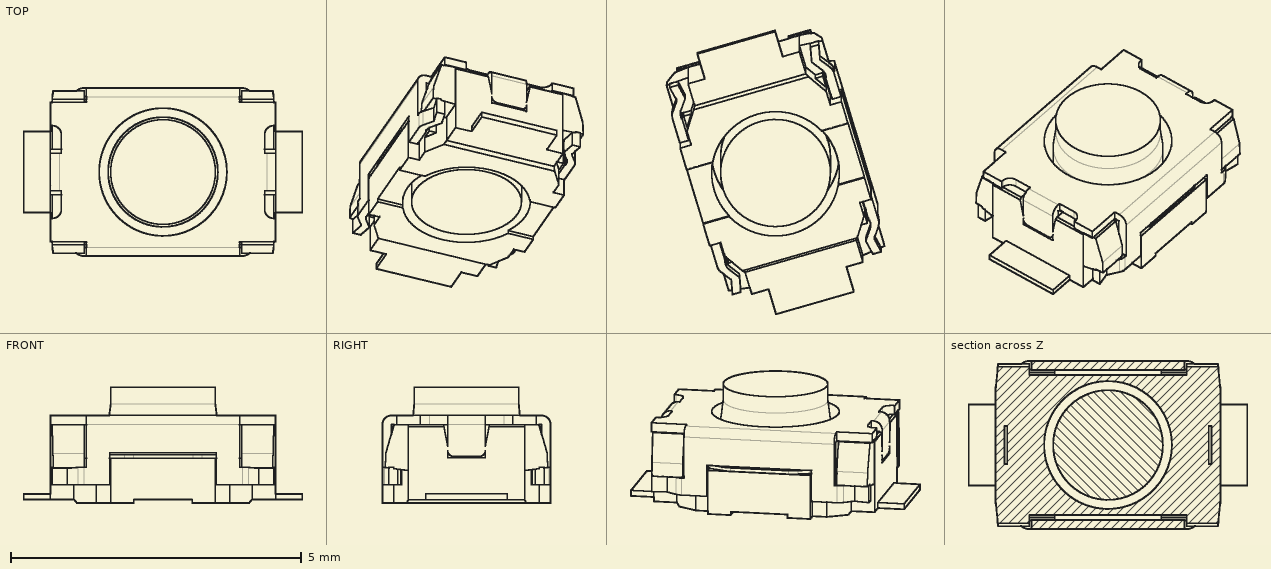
import cadquery as cq
import math


HALF_LENGTH = 1.94
HALF_WIDTH = 1.45
SHEET = 0.16
BEND_RADIUS = 0.155
COVER_TOP = 1.51
BASE_TOP = COVER_TOP - SHEET
UNDERSIDE = 0.06
CUTTER_MARGIN = 0.5

BUTTON_TOP = 2.0
BUTTON_RADIUS = 0.903
BUTTON_SKIRT_RADIUS = 0.948
TAPER_TOP = 1.715
TAPER_BOTTOM = 1.35
BUTTON_HOLE_RADIUS = 1.1

CORE_HALF_WIDTH = 1.0
WALL_HALF_WIDTH = 1.21
END_EDGE_CHAMFER = 0.035
PLINTH_HALF_WIDTH = 1.25
PLINTH_CORNER_X = 1.15
PLINTH_HALF_LENGTH = 1.535
FOOT_HALF_LENGTH = 1.485
FOOT_GAP_HALF = 0.5
LUG_HALF_LENGTH = 0.9
LUG_TOP = 0.776
RIDGE_TOP = 0.835
RIDGE_FLAT_HALF = 0.51
RIDGE_BEND_HALF = 0.67
RIDGE_FACE_Y = 1.43
RIDGE_BEND_Y = 1.39

BLOCK_INNER_X = 1.355
BLOCK_ROOT_X = 1.935
BLOCK_TIP_X = 1.895
BLOCK_TOP_Y = 1.25
BLOCK_SHOULDER_Y = 1.39
BLOCK_SHOULDER_Z = 0.86
BLOCK_TIP_Y = 1.40
BLOCK_TIP_Z = 0.612
BLOCK_ROOT_Z = 0.56

PLATE_CORNER_Y = 1.20
FLAP_HALF_LENGTH = 1.32
FLAP_BOTTOM = 0.315
FLAP_INNER_Y = HALF_WIDTH - SHEET
WINDOW_HALF = 0.92
WINDOW_TOP = 0.865

TAIL_TOP = 0.617
TAIL_DEPTH = 0.15
TAIL_BEND_START = (1.365, HALF_WIDTH)
TAIL_BEND_MIDDLE = (1.42, 1.441)
TAIL_BEND_END = (1.47, 1.415)
TAIL_WAIST = (1.65, 1.285)
TAIL_END = (1.91, 1.338)

TAB_HALF_WIDTH = 0.325
TAB_BOTTOM = 0.805
TAB_CORNER_RADIUS = 0.1
RECESS_FLOOR_X = 1.74
RECESS_BOTTOM = 0.777
RECESS_FLARE_START = 0.98
RECESS_TOP_HALF_WIDTH = 0.395
RELIEF_INNER_X = 1.75
RELIEF_HALF_WIDTH = 0.80
RELIEF_RADIUS = 0.16

TERMINAL_REACH = 2.4
TERMINAL_HALF_WIDTH = 0.70
TERMINAL_THICKNESS = 0.1


def block(x0, x1, y0, y1, z0, z1):
    """Box between two opposite corners."""
    return cq.Workplane("XY").box(x1 - x0, y1 - y0, z1 - z0, centered=False).translate((x0, y0, z0))


def centred_block(half_x, half_y, z0, z1):
    """Box centred on the Z axis."""
    return block(-half_x, half_x, -half_y, half_y, z0, z1)


def prism(points, z0, z1):
    """Upright prism over a plan outline."""
    return cq.Workplane("XY").workplane(offset=z0).polyline(points).close().extrude(z1 - z0)


def both_ends(shape):
    """The shape and its mirror image at the other X end."""
    return [shape, shape.mirror("YZ")]


def both_sides(shape):
    """The shape and its mirror image on the other Y side."""
    return [shape, shape.mirror("XZ")]


def four_corners(shape):
    return [copy for end in both_ends(shape) for copy in both_sides(end)]


def base_plinth():
    """Lower base with slanted corners, standing on two feet with sloped outer ends."""
    corner = [
        (PLINTH_HALF_LENGTH, CORE_HALF_WIDTH),
        (PLINTH_CORNER_X, PLINTH_HALF_WIDTH),
    ]
    outline = corner + [(-x, y) for x, y in reversed(corner)]
    outline += [(-x, -y) for x, y in outline]
    plinth = prism(outline, 0, LUG_TOP)
    plinth = plinth.union(centred_block(LUG_HALF_LENGTH, HALF_WIDTH, 0, LUG_TOP))
    foot_end = (
        cq.Workplane("XZ")
        .polyline([
            (PLINTH_HALF_LENGTH, UNDERSIDE),
            (FOOT_HALF_LENGTH, 0),
            (PLINTH_HALF_LENGTH, 0),
        ])
        .close()
        .extrude(HALF_WIDTH, both=True)
    )
    for cutter in both_ends(foot_end):
        plinth = plinth.cut(cutter)
    return plinth.cut(centred_block(FOOT_GAP_HALF, HALF_WIDTH, 0, UNDERSIDE))


def base_core():
    """Full-length middle of the base with chamfered top ends, and the stepped walls beside it."""
    core = centred_block(HALF_LENGTH, CORE_HALF_WIDTH, UNDERSIDE, BASE_TOP)
    core = core.faces(">Z").edges("|Y").chamfer(END_EDGE_CHAMFER)
    core = core.union(centred_block(BLOCK_INNER_X, WALL_HALF_WIDTH, FLAP_BOTTOM, BASE_TOP))
    return core.union(centred_block(BLOCK_INNER_X, PLINTH_HALF_WIDTH, FLAP_BOTTOM, LUG_TOP))


def corner_block():
    """Corner of the base at +X +Y, sloping outward and drafted at its end."""
    profile = (
        cq.Workplane("YZ")
        .workplane(offset=BLOCK_INNER_X)
        .polyline([
            (CORE_HALF_WIDTH, BLOCK_ROOT_Z),
            (BLOCK_TIP_Y, BLOCK_TIP_Z),
            (BLOCK_SHOULDER_Y, BLOCK_SHOULDER_Z),
            (BLOCK_TOP_Y, BASE_TOP),
            (CORE_HALF_WIDTH, BASE_TOP),
        ])
        .close()
        .extrude(BLOCK_ROOT_X - BLOCK_INNER_X)
    )
    plan = prism(
        [
            (BLOCK_INNER_X, CORE_HALF_WIDTH),
            (BLOCK_ROOT_X, CORE_HALF_WIDTH),
            (BLOCK_TIP_X, BLOCK_TIP_Y),
            (BLOCK_INNER_X, BLOCK_TIP_Y),
        ],
        0,
        BASE_TOP,
    )
    return profile.intersect(plan)


def lug_ridge():
    """Low ridge on the +Y lug: flat in the middle, bending back toward both ends."""
    half = (
        cq.Workplane("XY")
        .workplane(offset=LUG_TOP)
        .moveTo(0, CORE_HALF_WIDTH)
        .lineTo(0, RIDGE_FACE_Y)
        .lineTo(RIDGE_FLAT_HALF, RIDGE_FACE_Y)
        .tangentArcPoint((RIDGE_BEND_HALF, RIDGE_BEND_Y), relative=False)
        .lineTo(WINDOW_HALF, FLAP_INNER_Y)
        .lineTo(WINDOW_HALF, CORE_HALF_WIDTH)
        .close()
        .extrude(RIDGE_TOP - LUG_TOP)
    )
    return half.union(half.mirror("YZ"))


def tab_recess():
    """Cutter for the recess behind the +X tab, flared toward the top."""
    right_side = [
        (TAB_HALF_WIDTH, RECESS_BOTTOM),
        (TAB_HALF_WIDTH, RECESS_FLARE_START),
        (RECESS_TOP_HALF_WIDTH, BASE_TOP),
    ]
    left_side = [(-y, z) for y, z in reversed(right_side)]
    return (
        cq.Workplane("YZ")
        .workplane(offset=RECESS_FLOOR_X)
        .polyline(right_side + left_side)
        .close()
        .extrude(CUTTER_MARGIN)
    )


def make_base():
    base = base_core().union(base_plinth())
    for corner in four_corners(corner_block()):
        base = base.union(corner)
    for ridge in both_sides(lug_ridge()):
        base = base.union(ridge)
    for recess in both_ends(tab_recess()):
        base = base.cut(recess)
    return base


def tab_relief():
    """Cutter clearing the +X plate edge for the tab and, with rounded corners, beside it."""
    relief_end_x = RELIEF_INNER_X + RELIEF_RADIUS
    rounding = RELIEF_RADIUS * math.sqrt(0.5)
    arc_centre_y = RELIEF_HALF_WIDTH - RELIEF_RADIUS
    half = (
        cq.Workplane("XY")
        .workplane(offset=BASE_TOP)
        .moveTo(HALF_LENGTH - SHEET, 0)
        .lineTo(HALF_LENGTH - SHEET, TAB_HALF_WIDTH)
        .lineTo(RELIEF_INNER_X, TAB_HALF_WIDTH)
        .lineTo(RELIEF_INNER_X, arc_centre_y)
        .threePointArc(
            (relief_end_x - rounding, arc_centre_y + rounding),
            (relief_end_x, RELIEF_HALF_WIDTH),
        )
        .lineTo(HALF_LENGTH, RELIEF_HALF_WIDTH)
        .lineTo(HALF_LENGTH, 0)
        .close()
        .extrude(SHEET)
    )
    return half.union(half.mirror("XZ"))


def end_tab():
    """Tab bent down over the +X end of the plate."""
    tab = block(
        HALF_LENGTH - SHEET, HALF_LENGTH, -TAB_HALF_WIDTH, TAB_HALF_WIDTH, TAB_BOTTOM, COVER_TOP
    )
    tab = tab.faces("<Z").edges("|X").fillet(TAB_CORNER_RADIUS)
    return tab.edges("|Y and >X and >Z").fillet(BEND_RADIUS)


def flap_tail():
    """Tail on the +X end of the +Y flap."""
    def inner(point):
        return (point[0], point[1] - TAIL_DEPTH)

    return (
        cq.Workplane("XY")
        .workplane(offset=FLAP_BOTTOM)
        .moveTo(WINDOW_HALF, HALF_WIDTH)
        .lineTo(*TAIL_BEND_START)
        .threePointArc(TAIL_BEND_MIDDLE, TAIL_BEND_END)
        .lineTo(*TAIL_WAIST)
        .lineTo(*TAIL_END)
        .lineTo(*inner(TAIL_END))
        .lineTo(*inner(TAIL_WAIST))
        .lineTo(*inner(TAIL_BEND_END))
        .threePointArc(inner(TAIL_BEND_MIDDLE), inner(TAIL_BEND_START))
        .lineTo(*inner((WINDOW_HALF, HALF_WIDTH)))
        .close()
        .extrude(TAIL_TOP - FLAP_BOTTOM)
    )


def side_flap():
    """Flap bent down along the +Y side, with a window over the lug and a tail at each end."""
    flap = block(-FLAP_HALF_LENGTH, FLAP_HALF_LENGTH, FLAP_INNER_Y, HALF_WIDTH, FLAP_BOTTOM, COVER_TOP)
    flap = flap.edges("|X and >Y and >Z").fillet(BEND_RADIUS)
    flap = flap.cut(block(-WINDOW_HALF, WINDOW_HALF, FLAP_INNER_Y, HALF_WIDTH, FLAP_BOTTOM, WINDOW_TOP))
    for tail in both_ends(flap_tail()):
        flap = flap.union(tail)
    return flap


def make_cover():
    cover = centred_block(HALF_LENGTH, PLATE_CORNER_Y, BASE_TOP, COVER_TOP)
    for relief in both_ends(tab_relief()):
        cover = cover.cut(relief)
    cover = cover.union(centred_block(FLAP_HALF_LENGTH, FLAP_INNER_Y, BASE_TOP, COVER_TOP))
    for part in both_ends(end_tab()) + both_sides(side_flap()):
        cover = cover.union(part)
    return cover


def terminal():
    """Flat solder terminal at the +X end."""
    return block(
        HALF_LENGTH,
        TERMINAL_REACH,
        -TERMINAL_HALF_WIDTH,
        TERMINAL_HALF_WIDTH,
        UNDERSIDE,
        UNDERSIDE + TERMINAL_THICKNESS,
    )


def make_housing():
    """Base, cover and terminals in one piece, pierced by the round button hole."""
    housing = make_base().union(make_cover())
    for lead in both_ends(terminal()):
        housing = housing.union(lead)
    hole = cq.Workplane("XY").circle(BUTTON_HOLE_RADIUS).extrude(BUTTON_TOP)
    return housing.cut(hole)


def make_button():
    """Round button, widening below its straight head, standing free in the housing hole."""
    return (
        cq.Workplane("XZ")
        .polyline([
            (0, UNDERSIDE),
            (BUTTON_SKIRT_RADIUS, UNDERSIDE),
            (BUTTON_SKIRT_RADIUS, TAPER_BOTTOM),
            (BUTTON_RADIUS, TAPER_TOP),
            (BUTTON_RADIUS, BUTTON_TOP),
            (0, BUTTON_TOP),
        ])
        .close()
        .revolve(360, (0, 0, 0), (0, 1, 0))
    )


housing = make_housing().solids()
button = make_button()

result = cq.Compound.makeCompound([housing.val(), button.val()])